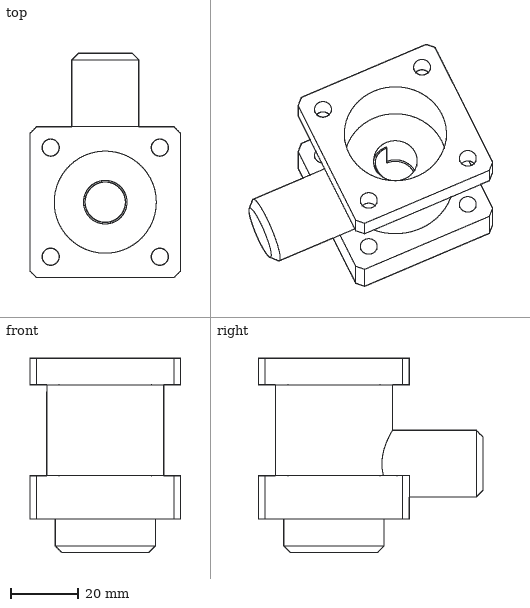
import cadquery as cq

spigot_height = 10.0
lower_flange_height = 13.0
body_height = 27.1
upper_flange_height = 8.0

lower_flange_z = spigot_height
body_z = lower_flange_z + lower_flange_height
upper_flange_z = body_z + body_height
total_height = upper_flange_z + upper_flange_height

flange_width = 45.0
corner_chamfer = 2.0
bolt_hole_diameter = 5.0
bolt_spacing = 32.55

spigot_diameter = 30.0
body_diameter = 35.0
end_chamfer = 2.0

main_bore_diameter = 30.5
main_bore_depth = 20.5
middle_bore_diameter = 13.0
middle_bore_floor_z = body_z
through_bore_diameter = 12.0

overall_length = 67.0
port_diameter = 20.0
port_z = 26.5
port_end_y = overall_length - flange_width / 2


def flange(bottom_z, height):
    """Square plate with chamfered corners and four bolt holes."""
    return (
        cq.Workplane("XY", origin=(0, 0, bottom_z))
        .rect(flange_width, flange_width)
        .extrude(height)
        .edges("|Z")
        .chamfer(corner_chamfer)
        .faces(">Z")
        .workplane()
        .rect(bolt_spacing, bolt_spacing, forConstruction=True)
        .vertices()
        .hole(bolt_hole_diameter)
    )


def spigot():
    """Round locating end with a chamfered lower rim."""
    return (
        cq.Workplane("XY")
        .circle(spigot_diameter / 2)
        .extrude(spigot_height)
        .faces("<Z")
        .chamfer(end_chamfer)
    )


def body():
    """Cylinder joining the two flanges."""
    return (
        cq.Workplane("XY", origin=(0, 0, body_z))
        .circle(body_diameter / 2)
        .extrude(body_height)
    )


def port():
    """Round arm from the main axis to the chamfered +Y end."""
    return (
        cq.Workplane("XZ", origin=(0, 0, port_z))
        .circle(port_diameter / 2)
        .extrude(-port_end_y)
        .faces(">Y")
        .chamfer(end_chamfer)
    )


def bore(diameter, bottom_z):
    """Cylindrical cutter on the Z axis from bottom_z up to the top face."""
    return (
        cq.Workplane("XY", origin=(0, 0, bottom_z))
        .circle(diameter / 2)
        .extrude(total_height - bottom_z)
    )


housing = (
    spigot()
    .union(flange(lower_flange_z, lower_flange_height))
    .union(body())
    .union(flange(upper_flange_z, upper_flange_height))
    .cut(bore(main_bore_diameter, total_height - main_bore_depth))
    .cut(bore(middle_bore_diameter, middle_bore_floor_z))
)

result = housing.union(port()).cut(bore(through_bore_diameter, 0))